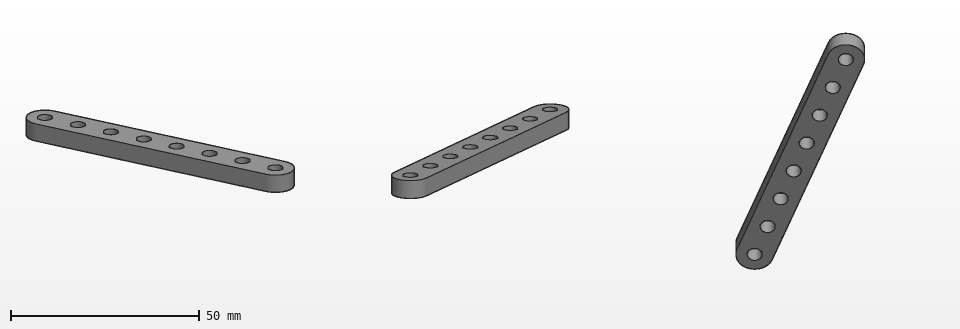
import cadquery as cq

hole_count = 8
pitch = 10.0
width = 10.0
thickness = 5.0
hole_diameter = 4.0

length = (hole_count - 1) * pitch + width


def make_bar():
    """Flat bar with full-round ends, resting on the XY plane."""
    return cq.Workplane("XY").slot2D(length, width).extrude(thickness)


def drill_holes(bar):
    """Row of evenly spaced through holes along the bar's centre line."""
    return bar.faces(">Z").workplane().rarray(pitch, width, hole_count, 1).hole(hole_diameter)


result = drill_holes(make_bar())